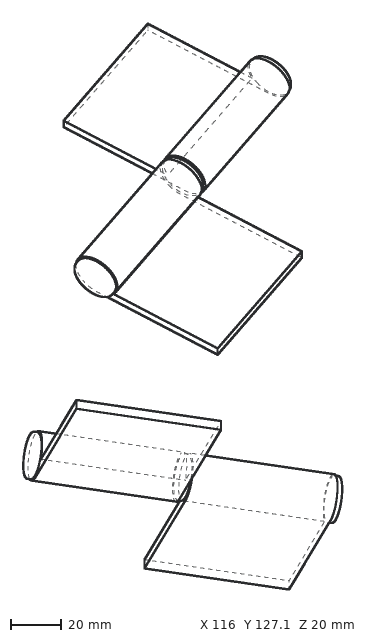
import cadquery as cq

overall_width = 116.0
barrel_diameter = 20.0
leaf_length = 60.0
leaf_thickness = 4.1
washer_thickness = 2.5
washer_radius = 9.5
cap_thickness = 2.3
cap_radius = 9.5
cap_edge_radius = 0.6

barrel_radius = barrel_diameter / 2
inner_end = washer_thickness / 2
outer_end = inner_end + leaf_length


def cylinder_along_y(radius, y_start, length):
    """Solid cylinder on the hinge axis, from y_start towards +Y."""
    plane = cq.Workplane("XZ", origin=(0, y_start, 0))
    return plane.circle(radius).extrude(-length)


def make_leaf():
    """Flat plate towards +X, flush with the bottom of its barrel, on the -Y half."""
    barrel = cylinder_along_y(barrel_radius, -outer_end, leaf_length)
    plate = cq.Workplane("XY", origin=(0, -outer_end, -barrel_radius)).box(
        overall_width / 2, leaf_length, leaf_thickness, centered=False
    )
    return barrel.union(plate)


def make_washer():
    """Spacer between the barrels, with a fully rounded rim."""
    half_thickness = washer_thickness / 2
    rim_start = washer_radius - half_thickness
    return (
        cq.Workplane("XY")
        .moveTo(0, -half_thickness)
        .lineTo(rim_start, -half_thickness)
        .threePointArc((washer_radius, 0), (rim_start, half_thickness))
        .lineTo(0, half_thickness)
        .close()
        .revolve(360, (0, 0, 0), (0, 1, 0))
    )


def make_cap():
    """End cap on the -Y barrel, with both rims rounded."""
    cap = cylinder_along_y(cap_radius, -outer_end - cap_thickness, cap_thickness)
    return cap.edges("%CIRCLE").fillet(cap_edge_radius)


leaves = []
caps = []
for turn in (0, 180):
    leaves.append(make_leaf().rotate((0, 0, 0), (0, 0, 1), turn).val())
    caps.append(make_cap().rotate((0, 0, 0), (0, 0, 1), turn).val())

washer = make_washer()

result = cq.Compound.makeCompound([*leaves, *caps, washer.val()])